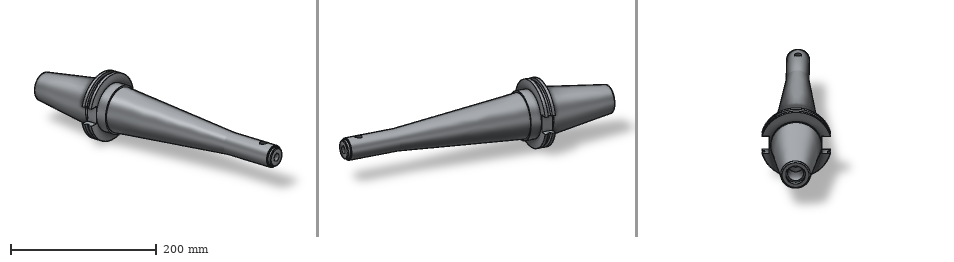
import cadquery as cq

length = 406.5

taper_length = 101.5
taper_ratio = 7 / 24
gauge_diameter = 70.0
small_end_diameter = gauge_diameter - taper_length * taper_ratio
small_end_chamfer = 1.5

flange_start = taper_length + 3.3
flange_end = taper_length + 19.0
flange_diameter = 97.5
groove_center = 112.5
groove_top_width = 6.0
groove_floor_width = 3.5
groove_depth = 3.3
slot_width = 25.5
front_slot_floor = 35.5
rear_slot_floor = 37.5

collar_diameter = 70.5
collar_end = 136.0
cone_start_diameter = 65.5
cone_end = 327.0
shank_diameter = 31.5
nose_start = 402.0
shank_chamfer = 1.0
nose_diameter = 27.0
nose_chamfer = 1.2

bore_diameter = 11.0
counterbore_diameter = 27.0
counterbore_depth = 6.0
inner_bore_diameter = 22.0
inner_bore_end = 36.5
bore_cone_end = 40.0

screw_hole_diameter = 9.8
screw_hole_x = 383.3


def revolve_about_x(points):
    """Revolve a closed (x, radius) outline about the X axis."""
    return cq.Workplane("XY").polyline(points).close().revolve(360, (0, 0, 0), (1, 0, 0))


def make_body():
    flange_radius = flange_diameter / 2
    groove_floor_radius = flange_radius - groove_depth
    return revolve_about_x([
        (0, 0),
        (0, small_end_diameter / 2 - small_end_chamfer),
        (small_end_chamfer, (small_end_diameter + small_end_chamfer * taper_ratio) / 2),
        (taper_length, gauge_diameter / 2),
        (taper_length, collar_diameter / 2),
        (flange_start, collar_diameter / 2),
        (flange_start, flange_radius),
        (groove_center - groove_top_width / 2, flange_radius),
        (groove_center - groove_floor_width / 2, groove_floor_radius),
        (groove_center + groove_floor_width / 2, groove_floor_radius),
        (groove_center + groove_top_width / 2, flange_radius),
        (flange_end, flange_radius),
        (flange_end, collar_diameter / 2),
        (collar_end, collar_diameter / 2),
        (collar_end, cone_start_diameter / 2),
        (cone_end, shank_diameter / 2),
        (nose_start - shank_chamfer, shank_diameter / 2),
        (nose_start, shank_diameter / 2 - shank_chamfer),
        (nose_start, nose_diameter / 2),
        (length - nose_chamfer, nose_diameter / 2),
        (length, nose_diameter / 2 - nose_chamfer),
        (length, 0),
    ])


def make_bore():
    return revolve_about_x([
        (0, 0),
        (0, counterbore_diameter / 2),
        (counterbore_depth, counterbore_diameter / 2),
        (counterbore_depth, inner_bore_diameter / 2),
        (inner_bore_end, inner_bore_diameter / 2),
        (bore_cone_end, bore_diameter / 2),
        (length, bore_diameter / 2),
        (length, 0),
    ])


def make_drive_slot(side, floor):
    """Slot across the flange; side is +1 or -1 along Y, floor its distance from the axis."""
    slot_depth = flange_diameter / 2 - floor
    return (
        cq.Workplane("XY")
        .box(flange_end - flange_start, slot_depth, slot_width)
        .translate(((flange_start + flange_end) / 2, side * (floor + slot_depth / 2), 0))
    )


def make_screw_hole():
    """Radial hole from the top of the shank into the axial bore."""
    return cq.Workplane("XY").center(screw_hole_x, 0).circle(screw_hole_diameter / 2).extrude(shank_diameter)


result = (
    make_body()
    .cut(make_bore())
    .cut(make_drive_slot(-1, front_slot_floor))
    .cut(make_drive_slot(1, rear_slot_floor))
    .cut(make_screw_hole())
)